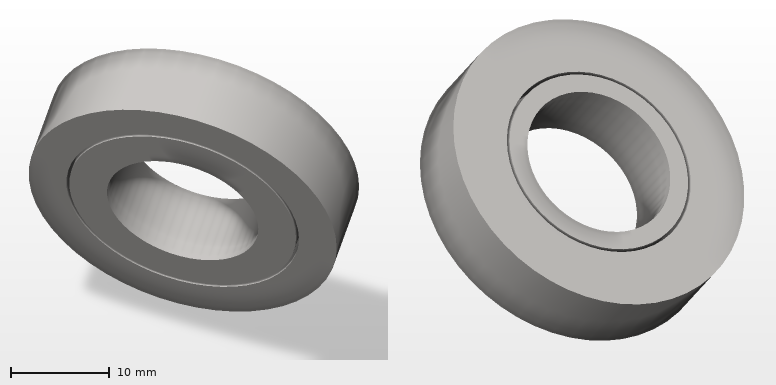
import cadquery as cq

outer_diameter = 32.6
bore_diameter = 16.0
width = 8.0

inner_front_diameter = 24.0
inner_back_diameter = 20.0
seat_front_diameter = 24.6
seat_back_diameter = 20.6

front_y = -width / 2
back_y = width / 2
cone_length = (seat_front_diameter - seat_back_diameter) / 2
cone_front_y = -cone_length / 2
cone_back_y = cone_length / 2


def revolved_ring(plain_diameter, seam_front_diameter, seam_back_diameter):
    """Ring about the Y axis with one plain cylindrical side and one stepped, conical side."""
    return (
        cq.Workplane("XY")
        .moveTo(plain_diameter / 2, front_y)
        .lineTo(seam_front_diameter / 2, front_y)
        .lineTo(seam_front_diameter / 2, cone_front_y)
        .lineTo(seam_back_diameter / 2, cone_back_y)
        .lineTo(seam_back_diameter / 2, back_y)
        .lineTo(plain_diameter / 2, back_y)
        .close()
        .revolve(360, (0, 0, 0), (0, 1, 0))
    )


def make_outer_ring():
    """Cylindrical outside with the stepped seat inside."""
    return revolved_ring(outer_diameter, seat_front_diameter, seat_back_diameter)


def make_inner_ring():
    """Cylindrical bore with a stepped outside that clears the seat evenly."""
    return revolved_ring(bore_diameter, inner_front_diameter, inner_back_diameter)


outer_ring = make_outer_ring()
inner_ring = make_inner_ring()

result = cq.Compound.makeCompound([outer_ring.val(), inner_ring.val()])